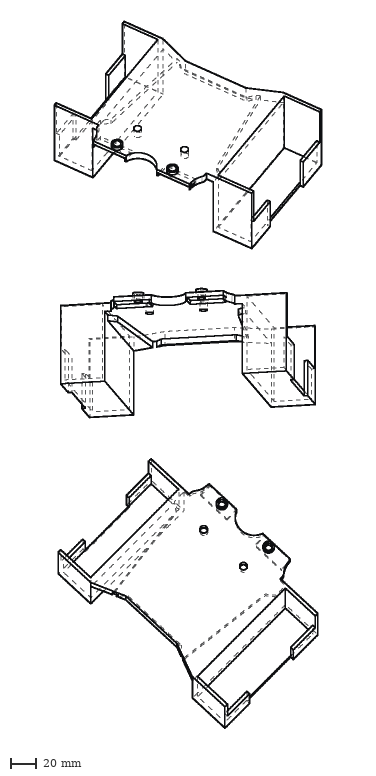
import cadquery as cq
import math


width = 183.2
height = 64.1
body_front = 17.0
body_back = 123.3
wall = 3.0
overlap = 1.0

tray_width = 35.9
tray_floor = 4.0
tab_height = 29.0
tab_gap = 50.0
tray_inner_x = width / 2 - tray_width
body_length = body_back - body_front
tab_length = (body_length - tab_gap) / 2

deck_thickness = 7.0
deck_bottom = height - deck_thickness
recess_depth = 11.2
recess_half_width = 28.0

tongue_offset_x = -0.4
tongue_half_width = 50.0
tip_half_width = 44.5
side_arc_radius = 18.9
shoulder_radius = 5.3
notch_radius = 15.0
notch_depth = 9.9

tip_length = 6.2
tip_thickness = 3.8
pocket_inner_x = 15.4
pocket_outer_x = 44.3

hole_diameter = 6.0
deck_hole_x = 21.8
deck_hole_y = 29.9
boss_diameter = 9.0
boss_height = 3.0
boss_x = 25.6
boss_y = 5.1
pocket_length = 2 * boss_y

guide_height = 4.8
guide_bottom = deck_bottom - guide_height
guide_front_x = 48.9
guide_back_x = 38.6
lead_in_length = 5.1
guide_length = 83.3
stop_front_half_width = 30.4
stop_back_half_width = 35.3
stop_thickness = 2.7


def box(x0, x1, y0, y1, z0, z1):
    """Axis-aligned box between two corners."""
    return cq.Workplane("XY").box(x1 - x0, y1 - y0, z1 - z0, centered=False).translate((x0, y0, z0))


def prism(points, z0, z1):
    """Vertical prism on a closed polygon."""
    return cq.Workplane("XY").workplane(offset=z0).polyline(points).close().extrude(z1 - z0)


def on_both_sides(shape):
    """Shape together with its mirror image across X = 0."""
    return shape.union(shape.mirror("YZ"))


def cylinders(x, y, diameter, z0, z1):
    """Pair of vertical cylinders at +x and -x."""
    plane = cq.Workplane("XY").workplane(offset=z0)
    return plane.pushPoints([(-x, y), (x, y)]).circle(diameter / 2).extrude(z1 - z0)


def back_edge_y(x):
    """Y of the sloping back edge of the deck at a distance x from the middle."""
    slope = recess_depth / (tray_inner_x - recess_half_width)
    return body_back - recess_depth + slope * (x - recess_half_width)


def side_arc_x(y):
    """Distance of the concave tongue side from the middle at a given y."""
    return tip_half_width + side_arc_radius - math.sqrt(side_arc_radius**2 - y**2)


def tray():
    """Left tray: open at the top, with two low corner tabs on its outer side."""
    outer_x = -width / 2
    inner_x = -tray_inner_x
    floor = box(outer_x + wall, inner_x, body_front, body_back, 0, tray_floor)
    inner_wall = box(inner_x - wall, inner_x, body_front, body_back, 0, height)
    front_wall = box(outer_x, inner_x, body_front, body_front + wall, 0, height)
    back_wall = box(outer_x, inner_x, body_back - wall, body_back, 0, height)
    front_tab = box(outer_x, outer_x + wall, body_front, body_front + tab_length, 0, tab_height)
    back_tab = box(outer_x, outer_x + wall, body_back - tab_length, body_back, 0, tab_height)
    return floor.union(inner_wall).union(front_wall).union(back_wall).union(front_tab).union(back_tab)


def deck():
    """Flat plate joining the trays, with its back edge set in."""
    joint_x = tray_inner_x + overlap
    recess_y = body_back - recess_depth
    outline = [
        (-joint_x, body_front),
        (joint_x, body_front),
        (joint_x, body_back),
        (tray_inner_x, body_back),
        (recess_half_width, recess_y),
        (-recess_half_width, recess_y),
        (-tray_inner_x, body_back),
        (-joint_x, body_back),
    ]
    return prism(outline, deck_bottom, height)


def tongue():
    """Front extension with concave sides, rounded shoulders and a round notch."""
    side_arc_x0 = tip_half_width + side_arc_radius
    blank = box(
        -tongue_half_width, tongue_half_width, 0, body_front + shoulder_radius, deck_bottom, height
    )
    blank = blank.cut(cylinders(side_arc_x0, 0, 2 * side_arc_radius, deck_bottom, height))
    corner_y = math.sqrt(side_arc_radius**2 - (side_arc_x0 - tongue_half_width) ** 2)
    for side in (-1, 1):
        corner = (side * tongue_half_width, corner_y, (deck_bottom + height) / 2)
        blank = blank.edges(cq.selectors.NearestToPointSelector(corner)).fillet(shoulder_radius)
    notch = (
        cq.Workplane("XY")
        .workplane(offset=deck_bottom)
        .center(0, notch_depth - notch_radius)
        .circle(notch_radius)
        .extrude(deck_thickness)
    )
    return blank.cut(notch)


def tip_flat():
    """Flat that bridges the concave side along the upper part of the left tip."""
    flat_back_x = side_arc_x(tip_length)
    points = [
        (-tip_half_width, 0),
        (-flat_back_x, tip_length),
        (overlap - flat_back_x, tip_length),
        (overlap - tip_half_width, 0),
    ]
    return prism(points, height - tip_thickness, height)


def tip_pocket():
    """Pocket below the left tip, open to the front and underneath."""
    return box(
        -pocket_outer_x, -pocket_inner_x, 0, pocket_length, deck_bottom, height - tip_thickness
    )


def guide():
    """Left guide block: a lead-in, then a long face converging towards the back."""
    back_y = back_edge_y(guide_back_x)
    front_y = back_y - guide_length
    joint_x = tray_inner_x + overlap
    points = [
        (-joint_x, front_y - lead_in_length),
        (-tray_inner_x, front_y - lead_in_length),
        (-guide_front_x, front_y),
        (-guide_back_x, back_y),
        (-tray_inner_x, body_back),
        (-joint_x, body_back),
    ]
    return prism(points, guide_bottom, deck_bottom + overlap)


def back_stop():
    """Bar along the set-in back edge, with slanted front corners."""
    recess_y = body_back - recess_depth
    half = [
        (stop_front_half_width, recess_y - stop_thickness),
        (stop_back_half_width, back_edge_y(stop_back_half_width)),
        (recess_half_width, recess_y),
    ]
    mirrored = [(-x, y) for x, y in reversed(half)]
    return prism(half + mirrored, guide_bottom, deck_bottom + overlap)


def front_tongue():
    """Complete tongue with tip flats, tip pockets and bosses, centred on X = 0."""
    bosses = cylinders(boss_x, boss_y, boss_diameter, height - overlap, height + boss_height)
    body = tongue().union(on_both_sides(tip_flat())).cut(on_both_sides(tip_pocket()))
    return body.union(bosses)


def holes():
    """Cutters for the boss holes and the deck holes, centred on X = 0."""
    boss_holes = cylinders(boss_x, boss_y, hole_diameter, deck_bottom, height + boss_height)
    deck_holes = cylinders(deck_hole_x, deck_hole_y, hole_diameter, deck_bottom, height)
    return boss_holes.union(deck_holes)


tongue_offset = (tongue_offset_x, 0, 0)
result = deck().union(on_both_sides(tray()))
result = result.union(on_both_sides(guide())).union(back_stop())
result = result.union(front_tongue().translate(tongue_offset))
result = result.cut(holes().translate(tongue_offset))